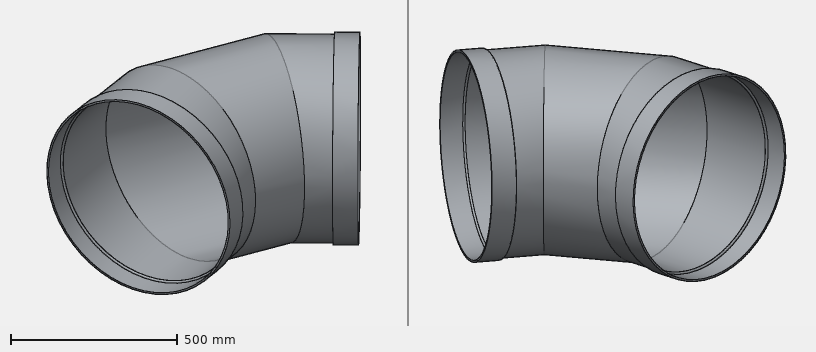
import cadquery as cq
import math

bore = 618.0
wall = 6.0
bend_angle = 60.0
mitre_joints = 2
socket_depth = 70.0
shoulder_radius = wall

pipe_diameter = bore + 2 * wall
collar_diameter = pipe_diameter + 2 * wall
collar_length = socket_depth + shoulder_radius

bend_radius = pipe_diameter
joint_angle = bend_angle / mitre_joints
end_leg = bend_radius * math.tan(math.radians(joint_angle / 2))
middle_leg = 2 * end_leg


def heading(angle):
    """Unit vector in the XY plane, turned clockwise from +Y by an angle in degrees."""
    turn = math.radians(angle)
    return cq.Vector(math.sin(turn), math.cos(turn), 0)


elbow_start = heading(0) * collar_length
first_joint = elbow_start + heading(0) * end_leg
second_joint = first_joint + heading(joint_angle) * middle_leg
elbow_end = second_joint + heading(bend_angle) * end_leg


def make_mitred_bar(diameter):
    """Solid round bar that follows the elbow centreline with mitred corners."""
    points = [elbow_start, first_joint, second_joint, elbow_end]
    path = cq.Workplane("XY").polyline([point.toTuple() for point in points])
    start_plane = cq.Plane(elbow_start, xDir=(1, 0, 0), normal=heading(0))
    return cq.Workplane(start_plane).circle(diameter / 2).sweep(path, transition="right")


def make_elbow():
    """Thin-walled elbow of three mitred segments."""
    return make_mitred_bar(pipe_diameter).cut(make_mitred_bar(bore))


def make_collar(elbow_face, outward):
    """Socket collar that butts against an end face of the elbow and opens outward."""
    profile_plane = cq.Plane(elbow_face, xDir=(0, 0, 1), normal=cq.Vector(0, 0, 1).cross(outward))
    profile = (
        cq.Workplane(profile_plane)
        .moveTo(bore / 2, 0)
        .lineTo(collar_diameter / 2, 0)
        .lineTo(collar_diameter / 2, collar_length)
        .lineTo(pipe_diameter / 2, collar_length)
        .lineTo(pipe_diameter / 2, shoulder_radius)
        .radiusArc((bore / 2, 0), -shoulder_radius)
        .close()
    )
    return profile.revolve(360, (0, 0, 0), (0, 1, 0))


elbow = make_elbow()
elbow_ends = [(elbow_start, -heading(0)), (elbow_end, heading(bend_angle))]
collars = [make_collar(elbow_face, outward) for elbow_face, outward in elbow_ends]

result = cq.Compound.makeCompound([elbow.val(), *[collar.val() for collar in collars]])